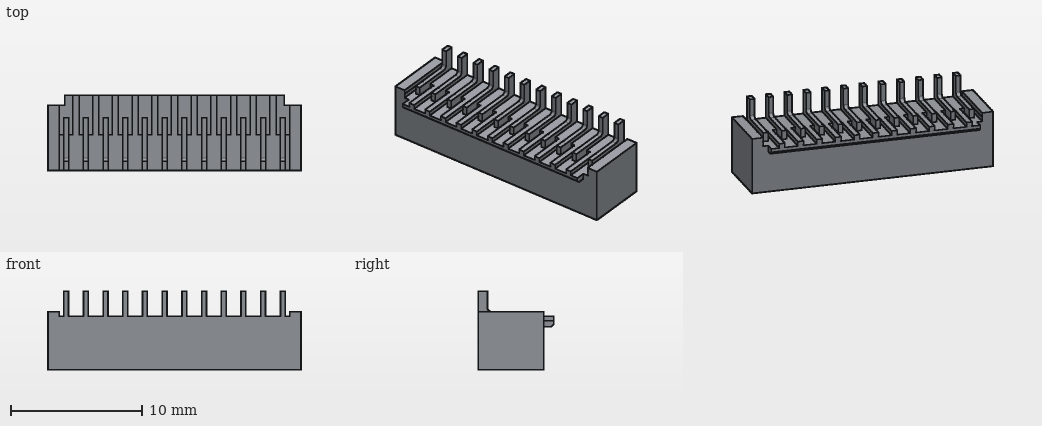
import cadquery as cq

LENGTH = 19.3
BODY_DEPTH = 5.0
BODY_HEIGHT = 4.44
END_WALL = 0.89
SHELF_HEIGHT = 4.1

TOTAL_DEPTH = 5.75
LEDGE_LENGTH = 16.73
LEDGE_BOTTOM = 3.28
LEDGE_CHAMFER = 0.2

PIN_COUNT = 12
PIN_SPAN = 16.5
PIN_PITCH = PIN_SPAN / (PIN_COUNT - 1)
PIN_WIDTH = 0.39
PIN_TOP = 6.0
POST_DEPTH = 0.71
LEG_END = 4.01
LEG_TOP = BODY_HEIGHT
BEND_RADIUS = 0.27
POCKET_WIDTH = 1.05
POCKET_FRONT = 2.72
POCKET_FLOOR = 3.75

PIN_CENTRES = [i * PIN_PITCH - PIN_SPAN / 2 for i in range(PIN_COUNT)]


def block(x_centre, width, y_front, y_back, z_bottom, z_top):
    """Box centred on x_centre, spanning the given y and z ranges."""
    box = cq.Workplane("XY").box(width, y_back - y_front, z_top - z_bottom, centered=(True, False, False))
    return box.translate((x_centre, y_front, z_bottom))


def housing():
    """Body with a shelf between two end walls and a chamfered rear ledge."""
    body = block(0, LENGTH, 0, BODY_DEPTH, 0, BODY_HEIGHT)
    shelf_length = LENGTH - 2 * END_WALL
    shelf_cut = block(0, shelf_length, 0, BODY_DEPTH, SHELF_HEIGHT, BODY_HEIGHT)
    ledge = block(0, LEDGE_LENGTH, BODY_DEPTH, TOTAL_DEPTH, LEDGE_BOTTOM, SHELF_HEIGHT)
    ledge = ledge.faces(">Y").edges("<Z").chamfer(LEDGE_CHAMFER)
    return body.cut(shelf_cut).union(ledge)


def pocket(x_centre):
    """Recess around a contact leg, open at the top and the rear."""
    return block(x_centre, POCKET_WIDTH, POCKET_FRONT, TOTAL_DEPTH, POCKET_FLOOR, SHELF_HEIGHT)


def pin(x_centre):
    """L-shaped contact: upright post at the front, leg running back into its pocket."""
    profile = (
        cq.Workplane("YZ")
        .moveTo(0, POCKET_FLOOR)
        .lineTo(LEG_END, POCKET_FLOOR)
        .lineTo(LEG_END, LEG_TOP)
        .lineTo(POST_DEPTH + BEND_RADIUS, LEG_TOP)
        .radiusArc((POST_DEPTH, LEG_TOP + BEND_RADIUS), BEND_RADIUS)
        .lineTo(POST_DEPTH, PIN_TOP)
        .lineTo(0, PIN_TOP)
        .close()
    )
    solid = profile.extrude(PIN_WIDTH)
    return solid.translate((x_centre - PIN_WIDTH / 2, 0, 0))


result = housing()
for x in PIN_CENTRES:
    result = result.cut(pocket(x))
for x in PIN_CENTRES:
    result = result.union(pin(x))